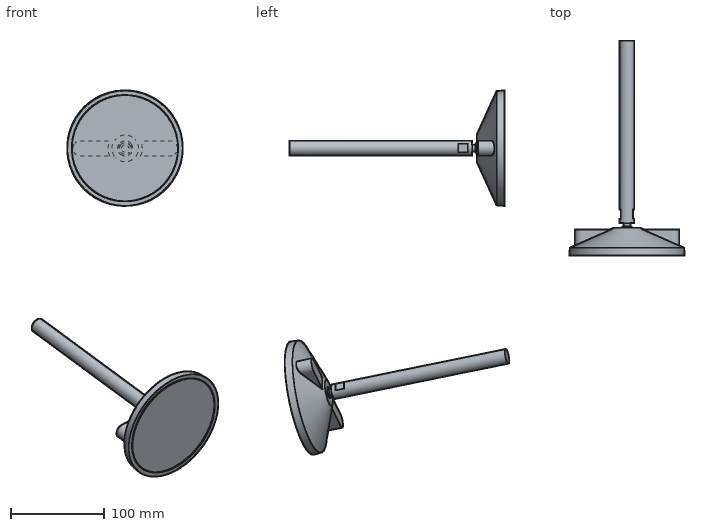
import cadquery as cq

TOTAL_LENGTH = 230.0

DISC_DIAMETER = 124.0
RIM_TOP_DIAMETER = 122.5
RIM_HEIGHT = 8.5
CONE_TOP_DIAMETER = 28.5
CONE_TOP_Y = 30.0

GROOVE_OUTER_DIAMETER = 114.0
GROOVE_INNER_DIAMETER = 113.5
GROOVE_DEPTH = 0.7

COLLAR_BASE_DIAMETER = 12.5
COLLAR_HEIGHT = 1.4
NECK_DIAMETER = 7.8
SHAFT_START_Y = 34.7
SHAFT_DIAMETER = 16.0

FLAT_SPACING = 13.3
FLAT_OFFSET = 4.8
FLAT_LENGTH = 9.7

BAR_LENGTH = 112.0
BAR_WIDTH = SHAFT_DIAMETER
BAR_TOP_Y = 28.0


def cylinder(diameter, start_y, end_y):
    """Solid cylinder on the Y axis between two positions."""
    plane = cq.Workplane("XZ", origin=(0, start_y, 0))
    return plane.circle(diameter / 2).extrude(start_y - end_y)


def disc():
    """Flat-faced disc with a slightly tapered rim and a conical back."""
    profile = [
        (0, 0),
        (DISC_DIAMETER / 2, 0),
        (RIM_TOP_DIAMETER / 2, RIM_HEIGHT),
        (CONE_TOP_DIAMETER / 2, CONE_TOP_Y),
        (0, CONE_TOP_Y),
    ]
    return cq.Workplane("XY").polyline(profile).close().revolve(360, (0, 0, 0), (0, 1, 0))


def ring_groove():
    """Cutter for the narrow circular groove in the flat face."""
    outer = cylinder(GROOVE_OUTER_DIAMETER, 0, GROOVE_DEPTH)
    return outer.cut(cylinder(GROOVE_INNER_DIAMETER, 0, GROOVE_DEPTH))


def bar():
    """Round-ended bar that rises out of the conical back on both sides."""
    plane = cq.Workplane("XZ", origin=(0, RIM_HEIGHT, 0))
    return plane.slot2D(BAR_LENGTH, BAR_WIDTH).extrude(RIM_HEIGHT - BAR_TOP_Y)


def collar():
    """Short cone that narrows from the back of the disc to the neck."""
    profile = [
        (0, CONE_TOP_Y),
        (COLLAR_BASE_DIAMETER / 2, CONE_TOP_Y),
        (NECK_DIAMETER / 2, CONE_TOP_Y + COLLAR_HEIGHT),
        (0, CONE_TOP_Y + COLLAR_HEIGHT),
    ]
    return cq.Workplane("XY").polyline(profile).close().revolve(360, (0, 0, 0), (0, 1, 0))


def shaft():
    """Long round shaft with two opposite wrench flats near the disc."""
    body = cylinder(SHAFT_DIAMETER, SHAFT_START_Y, TOTAL_LENGTH)
    flat_middle_y = SHAFT_START_Y + FLAT_OFFSET + FLAT_LENGTH / 2
    for side in (-1, 1):
        cutter = cq.Workplane("XY").box(SHAFT_DIAMETER, FLAT_LENGTH, SHAFT_DIAMETER)
        cutter_x = side * (FLAT_SPACING + SHAFT_DIAMETER) / 2
        body = body.cut(cutter.translate((cutter_x, flat_middle_y, 0)))
    return body


neck = cylinder(NECK_DIAMETER, CONE_TOP_Y, SHAFT_START_Y)

result = disc().cut(ring_groove()).union(bar()).union(collar()).union(neck).union(shaft())